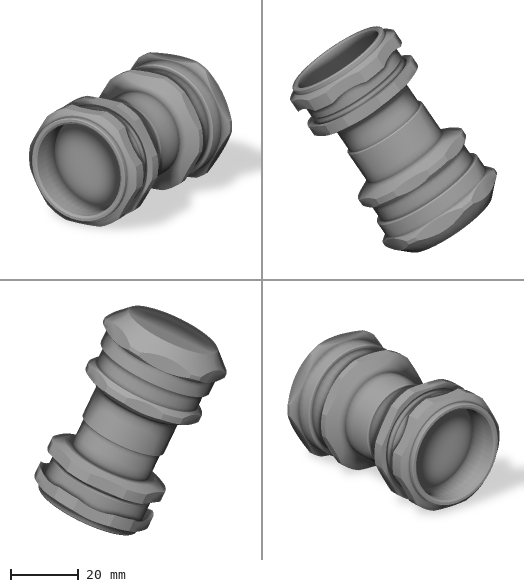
import cadquery as cq
import math

length = 60.8

thread_diameter = 32.0
neck_diameter = 25.0
sleeve_diameter = 26.6
rear_diameter = 32.8
collar_diameter = 35.5
bore_diameter = 28.5
bore_mouth_diameter = 29.8
seal_recess_diameter = 32.8

small_flats = 35.05
small_corners = 37.0
cap_flats = 36.0
cap_corners = 39.6

thread_end = 10.7
flange_start = 12.05
seal_end = 13.25
neck_start = 16.7
sleeve_start = 25.3
sleeve_end = 36.2
rear_start = 42.45
collar_start = 47.9
cap_start = 52.85

edge_chamfer = 0.3
thread_back_chamfer = 0.55
bore_depth = 10.45
mouth_depth = 0.5


def turned(profile):
    """Revolve a list of (radius, y) points, closed along the axis, about Y."""
    points = [(0, profile[0][1])] + profile + [(0, profile[-1][1])]
    return cq.Workplane("XY").polyline(points).close().revolve(360, (0, 0, 0), (0, 1, 0))


def cylinder(diameter, start, end, front_chamfer=0.0, back_chamfer=0.0):
    """Round section along Y with optional chamfers at its ends."""
    radius = diameter / 2
    profile = [(radius - front_chamfer, start)]
    if front_chamfer:
        profile.append((radius, start + front_chamfer))
    if back_chamfer:
        profile.append((radius, end - back_chamfer))
    profile.append((radius - back_chamfer, end))
    return turned(profile)


def hexagon(flats, profile):
    """Turned blank cut to six flats, two of them facing up and down."""
    blank = turned(profile)
    start = min(y for _, y in profile)
    end = max(y for _, y in profile)
    prism = (
        cq.Workplane("XZ", origin=(0, start, 0))
        .polygon(6, flats / math.cos(math.radians(30)))
        .extrude(start - end)
    )
    return blank.intersect(prism)


def lock_nut():
    """Front hexagon with a hollow 45 degree cone in its back face."""
    corner = small_corners / 2
    root = thread_diameter / 2
    front_radius = 16.4
    front = 1.6
    cone_end = 2.8
    back = 6.65
    profile = [
        (front_radius, front),
        (corner, cone_end),
        (corner, back),
        (root, back - (corner - root)),
    ]
    return hexagon(small_flats, profile)


def flange_hexagon():
    """Hexagon between the seal and the neck, recessed for the seal in front and coned behind."""
    corner = small_corners / 2
    recess = seal_recess_diameter / 2
    cone_start = 15.25
    cone_end_radius = 14.85
    profile = [
        (recess, seal_end),
        (recess, flange_start + edge_chamfer),
        (recess + edge_chamfer, flange_start),
        (corner, flange_start),
        (corner, cone_start),
        (cone_end_radius, neck_start),
    ]
    return hexagon(small_flats, profile)


def rear_hexagon():
    """Hexagon on the rear body, with a long cone down to the sleeve."""
    corner = small_corners / 2
    front_cone_end = 39.05
    back_cone_start = 41.05
    back_radius = 17.0
    profile = [
        (sleeve_diameter / 2, sleeve_end),
        (corner, front_cone_end),
        (corner, back_cone_start),
        (back_radius, rear_start),
    ]
    return hexagon(small_flats, profile)


def cap():
    """Large end hexagon with a 45 degree cone to the end face."""
    corner = cap_corners / 2
    end_radius = 14.55
    front_cone_end = 54.3
    profile = [
        (collar_diameter / 2, cap_start),
        (corner, front_cone_end),
        (corner, length - (corner - end_radius)),
        (end_radius, length),
    ]
    return hexagon(cap_flats, profile)


def seal():
    """Round-edged seal ring on a narrower core, half sunk in the flange hexagon."""
    seal_radius = (seal_end - thread_end) / 2
    centre_radius = thread_diameter / 2 - seal_radius
    core = cylinder(2 * centre_radius, thread_end, seal_end)
    section = cq.Workplane("XY").center(centre_radius, thread_end + seal_radius).circle(seal_radius)
    ring = section.revolve(360, (-centre_radius, 0, 0), (-centre_radius, 1, 0))
    return core.union(ring)


def bore():
    """Blind bore with a tapered mouth."""
    mouth = bore_mouth_diameter / 2
    radius = bore_diameter / 2
    return turned([(mouth, 0), (radius, mouth_depth), (radius, bore_depth)])


sections = [
    seal(),
    lock_nut(),
    flange_hexagon(),
    cylinder(neck_diameter, neck_start, sleeve_start),
    cylinder(sleeve_diameter, sleeve_start, sleeve_end, front_chamfer=edge_chamfer),
    rear_hexagon(),
    cylinder(rear_diameter, rear_start, collar_start),
    cylinder(collar_diameter, collar_start, cap_start, front_chamfer=edge_chamfer),
    cap(),
]

result = cylinder(thread_diameter, 0, thread_end, edge_chamfer, thread_back_chamfer)
for section in sections:
    result = result.union(section)
result = result.cut(bore())